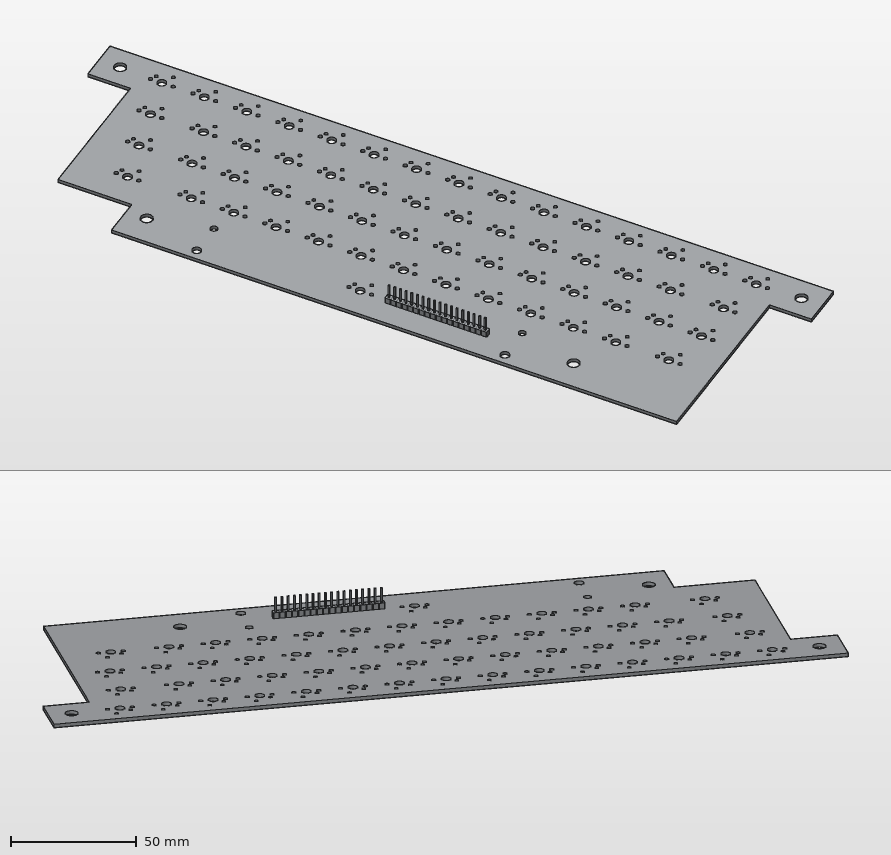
import cadquery as cq

overall_width = 324.5
board_depth = 99.5
board_thickness = 1.6
left_tab_width = 19.0
right_tab_width = 18.8
tab_depth = 19.0
corner_cut_width = 33.0
corner_cut_depth = 17.5

keys_per_row = 15
key_row_length = 285.7
key_pitch = key_row_length / keys_per_row
first_row_inset = 10.5
space_key_column = 6.75

pin_count = 18
pin_pitches_per_key = 7.5
pin_pitch = key_pitch / pin_pitches_per_key
header_center_x = 30.0
header_center_y = -37.5
pin_side = 0.5
pin_length = 11.7
pin_tail = 1.4
segment_chamfer = 0.25

switch_grid = pin_pitch / 2
side_peg_steps = [(-4, 0), (4, 0)]
contact_steps = [(-3, 2), (2, 4)]
switch_center_diameter = 4.0
switch_side_diameter = 1.7
switch_contact_diameter = 1.5
pin_hole_diameter = 1.0
mount_diameter = 5.2
small_stabilizer_diameter = 3.05
large_stabilizer_diameter = 4.0
stabilizer_half_span = 69.0
small_stabilizer_rise = 6.8
large_stabilizer_drop = 8.0
lower_mount_half_span = 95.8

board_left = -overall_width / 2
board_right = overall_width / 2
board_back = board_depth / 2
board_front = -board_depth / 2
panel_left = board_left + left_tab_width
panel_right = board_right - right_tab_width
tab_front = board_back - tab_depth


def key_center(column, row):
    """Centre of the key that is `column` pitches right of and `row` rows in front of the first key."""
    x = panel_left + (column + 0.5) * key_pitch
    y = board_back - first_row_inset - row * key_pitch
    return (x, y)


def key_run(first_column, count):
    """Columns of keys standing side by side."""
    return [first_column + i for i in range(count)]


row_columns = [
    key_run(0, keys_per_row),
    [0.25, *key_run(1.5, 12), 13.75],
    [0.5, *key_run(1.75, 13)],
    [0.75, *key_run(2.25, 11), 13.5],
    [space_key_column],
]
space_key_row = len(row_columns) - 1
key_centers = [key_center(column, row) for row, columns in enumerate(row_columns) for column in columns]
space_x, space_y = key_center(space_key_column, space_key_row)

first_pin_x = header_center_x - (pin_count - 1) * pin_pitch / 2
pin_centers = [(first_pin_x + i * pin_pitch, header_center_y) for i in range(pin_count)]


def cut_holes(board, centers, diameter):
    """Through holes of one diameter."""
    return board.cut(
        cq.Workplane("XY").pushPoints(centers).circle(diameter / 2).extrude(board_thickness)
    )


def around_keys(grid_x, grid_y):
    """One point per key, offset from the key's centre by steps of the switch grid."""
    return [(x + grid_x * switch_grid, y + grid_y * switch_grid) for x, y in key_centers]


def make_board():
    """Flat board with all its through holes."""
    corner_cut_x = panel_left + corner_cut_width
    corner_cut_y = board_front + corner_cut_depth
    board = (
        cq.Workplane("XY")
        .polyline([
            (board_left, board_back),
            (board_right, board_back),
            (board_right, tab_front),
            (panel_right, tab_front),
            (panel_right, board_front),
            (corner_cut_x, board_front),
            (corner_cut_x, corner_cut_y),
            (panel_left, corner_cut_y),
            (panel_left, tab_front),
            (board_left, tab_front),
        ])
        .close()
        .extrude(board_thickness)
    )

    board = cut_holes(board, key_centers, switch_center_diameter)
    for steps in side_peg_steps:
        board = cut_holes(board, around_keys(*steps), switch_side_diameter)
    for steps in contact_steps:
        board = cut_holes(board, around_keys(*steps), switch_contact_diameter)

    stabilizer_xs = [space_x - stabilizer_half_span, space_x + stabilizer_half_span]
    small_holes = [(x, space_y + small_stabilizer_rise) for x in stabilizer_xs]
    large_holes = [(x, space_y - large_stabilizer_drop) for x in stabilizer_xs]
    board = cut_holes(board, small_holes, small_stabilizer_diameter)
    board = cut_holes(board, large_holes, large_stabilizer_diameter)

    tab_mount_y = board_back - tab_depth / 2
    mounts = [
        (board_left + left_tab_width / 2, tab_mount_y),
        (board_right - right_tab_width / 2, tab_mount_y),
        (space_x - lower_mount_half_span, space_y),
        (space_x + lower_mount_half_span, space_y),
    ]
    board = cut_holes(board, mounts, mount_diameter)

    return cut_holes(board, pin_centers, pin_hole_diameter)


def make_header():
    """Plastic strip of chamfered segments on the board, with a square pin through each segment."""
    segments = (
        cq.Workplane("XY", origin=(0, 0, board_thickness))
        .pushPoints(pin_centers)
        .rect(pin_pitch, pin_pitch)
        .extrude(pin_pitch, combine=False)
        .edges("|Z")
        .chamfer(segment_chamfer)
    )
    pins = (
        cq.Workplane("XY", origin=(0, 0, -pin_tail))
        .pushPoints(pin_centers)
        .rect(pin_side, pin_side)
        .extrude(pin_length, combine=False)
    )
    parts = [solid for shape in segments.vals() + pins.vals() for solid in shape.Solids()]
    return parts[0].fuse(*parts[1:]).Solids()[0]


board = make_board()
header = make_header()

result = cq.Compound.makeCompound([board.val().Solids()[0], header])